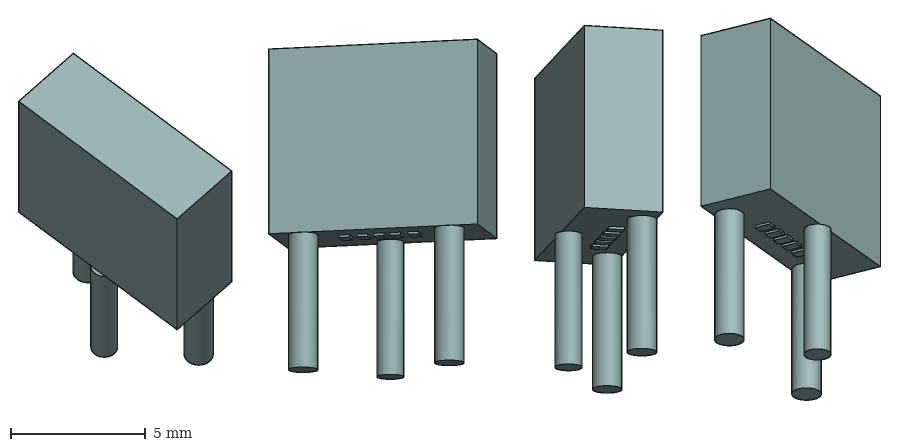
import cadquery as cq

total_height = 12.1
housing_width = 8.0
housing_depth = 3.0
housing_height = 6.99
pin_length = total_height - housing_height

front_pin_diameter = 1.0
rear_pin_diameter = 1.1
front_pin_overhang = 0.16
rear_pin_overhang = 0.04
rear_pin_spacing = 5.6

front_pin_y = -housing_depth / 2 - front_pin_overhang + front_pin_diameter / 2
rear_pin_y = housing_depth / 2 + rear_pin_overhang - rear_pin_diameter / 2

pad_width = 0.4
pad_length = 0.6
pad_thickness = 0.1
pad_front_y = 0.02
inner_pad_x = 0.63
outer_pad_x = 1.32
pad_positions = [-outer_pad_x, -inner_pad_x, 0, inner_pad_x, outer_pad_x]


def make_housing():
    """Plain rectangular block resting on the pin tops."""
    return (
        cq.Workplane("XY", origin=(0, 0, pin_length))
        .rect(housing_width, housing_depth)
        .extrude(housing_height)
    )


def make_pin(x, y, diameter):
    """Round pin from Z = 0 up to the underside of the housing."""
    return cq.Workplane("XY", origin=(x, y, 0)).circle(diameter / 2).extrude(pin_length)


def make_pad(x):
    """Thin rectangular pad hanging from the underside of the housing."""
    return (
        cq.Workplane("XY", origin=(x, pad_front_y + pad_length / 2, pin_length))
        .rect(pad_width, pad_length)
        .extrude(-pad_thickness)
    )


housing = make_housing()
front_pin = make_pin(0, front_pin_y, front_pin_diameter)
rear_pins = [make_pin(side * rear_pin_spacing / 2, rear_pin_y, rear_pin_diameter) for side in (-1, 1)]
pads = [make_pad(x) for x in pad_positions]

result = cq.Compound.makeCompound([
    housing.val(),
    front_pin.val(),
    *[pin.val() for pin in rear_pins],
    *[pad.val() for pad in pads],
])